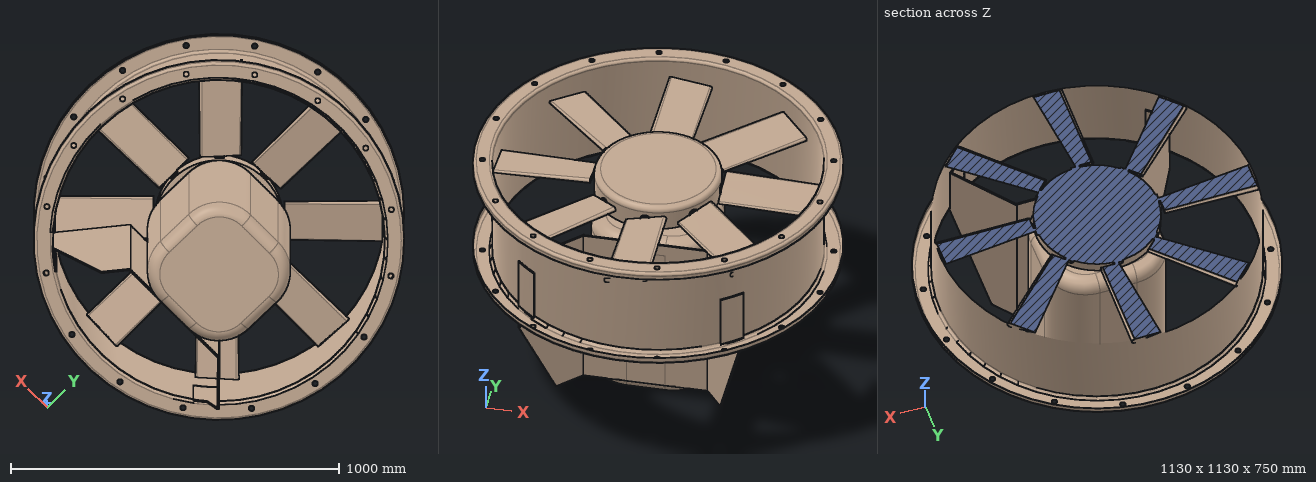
import cadquery as cq
import math

casing_length = 350.0
casing_inner_radius = 505.0
flange_outer_radius = 565.0
sheet = 1.2
bend_radius = 10.0
lip_height = 24.0
bolt_circle_radius = 535.0
bolt_hole_diameter = 16.0
bolt_count = 16

motor_half_width = 193.0
motor_flat_half_width = 60.0
motor_bottom_z = -400.0
motor_top_z = 181.0
motor_bottom_edge_radius = 37.0
motor_top_edge_radius = 44.0

hub_radius = 195.0
hub_bottom_z = 235.0
hub_top_z = 317.0
hub_edge_radius = 19.0
shaft_diameter = 101.0
blade_count = 8
blade_root_radius = 199.0
blade_tip_radius = 499.0
blade_pin_z = 270.0
blade_pin_diameter = 30.0
thin_edge_radius = 9.95 / 2
thick_edge_radius = 8.0
root_low_edge = (-55.0, 260.0)
root_high_edge = (59.0, 285.0)
tip_low_edge = (-58.0, 257.0)
tip_high_edge = (62.0, 277.0)

bracket_thickness = 5.0
bracket_bottom_z = -364.0
bracket_top_z = 174.0
foot_inner_radius = 503.0
foot_outer_radius = foot_inner_radius + bracket_thickness
left_arm_angle = 225.0
left_arm_bottom_reach = 99.0
left_arm_full_reach_z = -79.0
right_arm_angle = 308.4
right_arm_bottom_reach = 85.0
right_arm_full_reach_z = -4.0
foot_length = 73.0
foot_taper = 0.4


def ring(inner_radius, outer_radius, bottom_z, top_z):
    """Plain ring about the Z axis."""
    blank = cq.Workplane("XY").workplane(offset=bottom_z).circle(outer_radius)
    return blank.circle(inner_radius).extrude(top_z - bottom_z)


def make_casing():
    outer = ring(casing_inner_radius, flange_outer_radius, 0, casing_length)
    outer = outer.edges("%CIRCLE").fillet(bend_radius)
    inner = ring(casing_inner_radius + sheet, flange_outer_radius - sheet, sheet, casing_length - sheet)
    inner = inner.edges("%CIRCLE").fillet(bend_radius - sheet)
    band = ring(
        casing_inner_radius + sheet, flange_outer_radius + sheet, lip_height, casing_length - lip_height
    )
    holes = (
        cq.Workplane("XY")
        .polarArray(bolt_circle_radius, 180.0 / bolt_count, 360, bolt_count)
        .circle(bolt_hole_diameter / 2)
        .extrude(casing_length)
    )
    return outer.cut(inner).cut(band).cut(holes)


def make_motor():
    width = 2 * motor_half_width
    body = cq.Workplane("XY").workplane(offset=motor_bottom_z).rect(width, width)
    body = body.extrude(motor_top_z - motor_bottom_z)
    body = body.edges("|Z").fillet(motor_half_width - motor_flat_half_width)
    body = body.faces("<Z").edges().fillet(motor_bottom_edge_radius)
    return body.faces(">Z").edges().fillet(motor_top_edge_radius)


def blade_section(plane, low_edge, low_radius, high_edge, high_radius):
    """Two edge circles joined by their outer tangents."""
    run = high_edge[0] - low_edge[0]
    rise = high_edge[1] - low_edge[1]
    pitch = math.atan2(rise, run)
    taper = math.asin((low_radius - high_radius) / math.hypot(run, rise))

    def on_circle(center, radius, angle):
        return (center[0] + radius * math.cos(angle), center[1] + radius * math.sin(angle))

    upper = pitch + math.pi / 2 - taper
    lower = pitch - math.pi / 2 + taper
    return (
        plane.moveTo(*on_circle(low_edge, low_radius, upper))
        .lineTo(*on_circle(high_edge, high_radius, upper))
        .threePointArc(
            on_circle(high_edge, high_radius, pitch), on_circle(high_edge, high_radius, lower)
        )
        .lineTo(*on_circle(low_edge, low_radius, lower))
        .threePointArc(
            on_circle(low_edge, low_radius, pitch + math.pi), on_circle(low_edge, low_radius, upper)
        )
        .close()
    )


def make_blade():
    """Blade pointing along -Y with the pin that holds it in the hub."""
    root_plane = cq.Workplane("XZ").workplane(offset=blade_root_radius)
    root = blade_section(root_plane, root_low_edge, thin_edge_radius, root_high_edge, thick_edge_radius)
    tip_plane = root.workplane(offset=blade_tip_radius - blade_root_radius)
    tip = blade_section(tip_plane, tip_low_edge, thick_edge_radius, tip_high_edge, thin_edge_radius)
    blade = tip.loft(ruled=True)
    pin_start = hub_radius / 2
    pin = (
        cq.Workplane("XZ", origin=(0, 0, blade_pin_z))
        .workplane(offset=pin_start)
        .circle(blade_pin_diameter / 2)
        .extrude(blade_root_radius - pin_start)
    )
    return blade.union(pin)


def make_impeller():
    hub = cq.Workplane("XY").workplane(offset=hub_bottom_z).circle(hub_radius)
    hub = hub.extrude(hub_top_z - hub_bottom_z).faces(">Z").edges().fillet(hub_edge_radius)
    shaft = cq.Workplane("XY").workplane(offset=motor_top_z).circle(shaft_diameter / 2)
    impeller = hub.union(shaft.extrude(hub_bottom_z - motor_top_z))
    blade = make_blade()
    for index in range(blade_count):
        impeller = impeller.union(blade.rotate((0, 0, 0), (0, 0, 1), index * 360.0 / blade_count))
    return impeller


def make_arm(bend_x, angle, bottom_reach, full_reach_z, foot_side):
    """Upright arm from the bracket bend to the casing, with a foot turned along the wall.

    foot_side is 1 where the foot turns counter-clockwise from the arm, -1 where clockwise.
    Arm and foot start one sheet thickness early, so that they overlap the sheet they bend from.
    """
    cos_angle = math.cos(math.radians(angle))
    sin_angle = math.sin(math.radians(angle))
    bend_y = -motor_half_width
    along = bend_x * cos_angle + bend_y * sin_angle
    across = bend_y * cos_angle - bend_x * sin_angle
    full_reach = math.sqrt(foot_outer_radius**2 - across**2) - along

    arm_plane = cq.Plane((bend_x, bend_y, 0), (cos_angle, sin_angle, 0), (sin_angle, -cos_angle, 0))
    arm = (
        cq.Workplane(arm_plane)
        .moveTo(-bracket_thickness, bracket_bottom_z)
        .lineTo(bottom_reach, bracket_bottom_z)
        .lineTo(full_reach, full_reach_z)
        .lineTo(full_reach, bracket_top_z)
        .lineTo(-bracket_thickness, bracket_top_z)
        .close()
        .extrude(foot_side * bracket_thickness)
    )
    within_feet = cq.Workplane("XY").workplane(offset=bracket_bottom_z).circle(foot_outer_radius)
    arm = arm.intersect(within_feet.extrude(bracket_top_z - bracket_bottom_z))

    end_x = bend_x + full_reach * cos_angle
    end_y = bend_y + full_reach * sin_angle
    tangent = (-foot_side * end_y, foot_side * end_x, 0)
    outward = (foot_side * end_x, foot_side * end_y, 0)
    foot = (
        cq.Workplane(cq.Plane((end_x, end_y, 0), tangent, outward))
        .moveTo(-bracket_thickness, full_reach_z)
        .lineTo(0, full_reach_z)
        .lineTo(-full_reach_z * foot_taper, 0)
        .lineTo(foot_length, 0)
        .lineTo(foot_length, bracket_top_z)
        .lineTo(-bracket_thickness, bracket_top_z)
        .close()
        .extrude(foot_length, both=True)
    )
    foot = foot.intersect(ring(foot_inner_radius, foot_outer_radius, bracket_bottom_z, bracket_top_z))
    return arm.union(foot)


def make_bracket():
    plate = cq.Workplane("XY").box(
        2 * motor_half_width,
        bracket_thickness,
        bracket_top_z - bracket_bottom_z,
        centered=(True, False, False),
    )
    plate = plate.translate((0, -motor_half_width, bracket_bottom_z))
    left_arm = make_arm(
        -motor_half_width, left_arm_angle, left_arm_bottom_reach, left_arm_full_reach_z, 1
    )
    right_arm = make_arm(
        motor_half_width, right_arm_angle, right_arm_bottom_reach, right_arm_full_reach_z, -1
    )
    return plate.union(left_arm).union(right_arm)


motor_and_impeller = make_motor().union(make_impeller())
result = motor_and_impeller.union(make_bracket(), clean=False).union(make_casing(), clean=False)